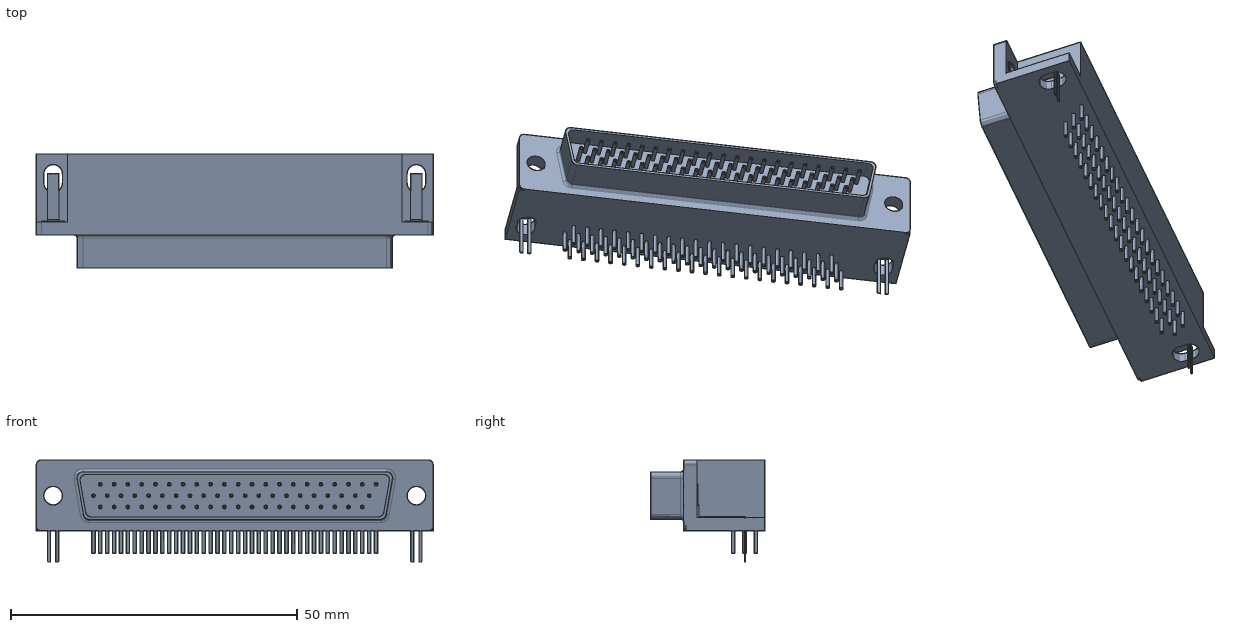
import cadquery as cq
import math

body_length = 69.4
body_height = 12.4
sheet_thickness = 0.4
body_depth = 13.8
corner_radius = 0.9
center_height = 6.14

center_block_length = 58.5
ear_floor = 2.3
ear_wall = 1.9

shell_projection = 5.79
shell_wall = 0.45
insert_projection = 2.2
shell_height = 8.3
shell_mid_length = 54.05
shell_side_angle = 10
shell_corner_radius = 1.0
shell_root_radius = 0.55

hole_spacing = 63.5
hole_diameter = 3.2
eyelet_diameter = 4.0
lock_setback = 3.5
lock_thickness = 0.2
lock_width = 2.0
prong_width = 0.58
prong_length = 5.5
prong_tip_chamfer = 0.2
strap_bend_radius = 0.18
slot_width = 3.2
slot_straight = 1.6

pin_diameter = 0.64
pin_pitch = 2.41
row_pitch = 1.98
pin_tip_chamfer = 0.15
pin_tip_recess = 0.1
pin_embed = 1.0
solder_length = 4.0
solder_setback = 3.56
row_shift = pin_pitch / 4
contact_rows = [
    (21, 1, row_shift),
    (21, 0, -row_shift),
    (20, -1, row_shift - pin_pitch / 2),
]

housing_front = sheet_thickness
housing_rear = housing_front + body_depth
wall_rear = housing_front + ear_wall
lock_y = housing_rear - lock_setback
solder_middle_y = housing_rear - solder_setback
shell_rim_y = -shell_projection


def box(x_range, y_range, z_range):
    """Box between the given pairs of limits."""
    size = [high - low for low, high in (x_range, y_range, z_range)]
    corner = (x_range[0], y_range[0], z_range[0])
    return cq.Workplane("XY").box(*size, centered=False).translate(corner)


def y_cylinder(diameter, x, z, y_start, y_end):
    """Cylinder along Y."""
    plane = cq.Workplane("XZ", origin=(x, y_end, z))
    return plane.circle(diameter / 2).extrude(y_end - y_start)


def d_prism(inset, y_start, y_end):
    """Rounded D outline, moved inward by inset, extruded along Y."""
    half_height = shell_height / 2 - inset
    angle = math.radians(shell_side_angle)
    half_mid = shell_mid_length / 2 - inset / math.cos(angle)
    lean = half_height * math.tan(angle)
    points = [
        (-half_mid - lean, half_height),
        (half_mid + lean, half_height),
        (half_mid - lean, -half_height),
        (-half_mid + lean, -half_height),
    ]
    plane = cq.Workplane("XZ", origin=(0, y_end, center_height))
    prism = plane.polyline(points).close().extrude(y_end - y_start)
    return prism.edges("|Y").fillet(shell_corner_radius)


def make_housing():
    """Plastic block with a low ear and a board-lock slot at each end."""
    half_length = body_length / 2
    housing = box((-half_length, half_length), (housing_front, housing_rear), (0, body_height))
    housing = housing.edges("|Y and >Z").fillet(corner_radius)
    for side in (-1, 1):
        x_limits = sorted((side * center_block_length / 2, side * half_length))
        housing = housing.cut(box(x_limits, (wall_rear, housing_rear), (ear_floor, body_height)))
        slot = (
            cq.Workplane("XY")
            .center(side * hole_spacing / 2, lock_y - slot_straight / 2)
            .slot2D(slot_straight + slot_width, slot_width, 90)
            .extrude(ear_floor)
        )
        housing = housing.cut(slot)
    return housing


def make_shell():
    """Flange with the D-shell standing on it, hollow down to the insert."""
    half_length = body_length / 2
    flange = box((-half_length, half_length), (0, housing_front), (0, body_height))
    flange = flange.edges("|Y").fillet(corner_radius)
    shell = flange.union(d_prism(0, shell_rim_y, 0))
    half_sheet = sheet_thickness / 2
    root = cq.selectors.BoxSelector(
        (-half_length + corner_radius, -half_sheet, corner_radius),
        (half_length - corner_radius, half_sheet, body_height - corner_radius),
    )
    shell = shell.edges(root).fillet(shell_root_radius)
    return shell.cut(d_prism(shell_wall, shell_rim_y, -insert_projection))


def make_board_lock(x):
    """Eyelet behind the ear wall, with an L-shaped strap ending in two prongs."""
    eyelet = y_cylinder(eyelet_diameter, x, center_height, wall_rear, wall_rear + lock_thickness)
    x_limits = (x - lock_width / 2, x + lock_width / 2)
    strap_top = ear_floor + lock_thickness
    prong_rear = lock_y + lock_thickness / 2
    upright_front = wall_rear + lock_thickness
    upright_top = center_height - hole_diameter / 2
    upright = box(x_limits, (wall_rear, upright_front + lock_thickness), (ear_floor, upright_top))
    strap = box(x_limits, (upright_front, prong_rear), (ear_floor, strap_top))
    strap = strap.edges("|X and >Y and >Z").fillet(strap_bend_radius)
    lock = eyelet.union(upright).union(strap)
    for side, outer_edge in ((-1, "<X"), (1, ">X")):
        outer = x + side * lock_width / 2
        prong_x = sorted((outer, outer - side * prong_width))
        prong = box(prong_x, (prong_rear - lock_thickness, prong_rear), (-prong_length, ear_floor))
        prong = prong.faces("<Z").edges(outer_edge).chamfer(prong_tip_chamfer)
        lock = lock.union(prong)
    return lock


def make_contact(x, row):
    """Mating pin ahead of the insert and its solder tail below the housing."""
    tip_y = shell_rim_y + pin_tip_recess
    root_y = pin_embed - insert_projection
    z = center_height + row * row_pitch
    mating = y_cylinder(pin_diameter, x, z, tip_y, root_y)
    mating = mating.faces("<Y").chamfer(pin_tip_chamfer)
    tail_y = solder_middle_y + row * row_pitch
    tail = (
        cq.Workplane("XY", origin=(x, tail_y, -solder_length))
        .circle(pin_diameter / 2)
        .extrude(solder_length + pin_embed)
        .faces("<Z")
        .chamfer(pin_tip_chamfer)
    )
    return [mating.val(), tail.val()]


def make_contacts():
    """All mating pins and solder tails, row by row."""
    contacts = []
    for count, row, middle_x in contact_rows:
        first_x = middle_x - (count - 1) / 2 * pin_pitch
        for index in range(count):
            contacts += make_contact(first_x + index * pin_pitch, row)
    return contacts


assembly = make_housing().union(make_shell())
hole_positions = (-hole_spacing / 2, hole_spacing / 2)
for hole_x in hole_positions:
    assembly = assembly.union(make_board_lock(hole_x))
for hole_x in hole_positions:
    assembly = assembly.cut(y_cylinder(hole_diameter, hole_x, center_height, 0, housing_rear))

result = cq.Workplane("XY").newObject(assembly.val().fuse(*make_contacts()).Solids())